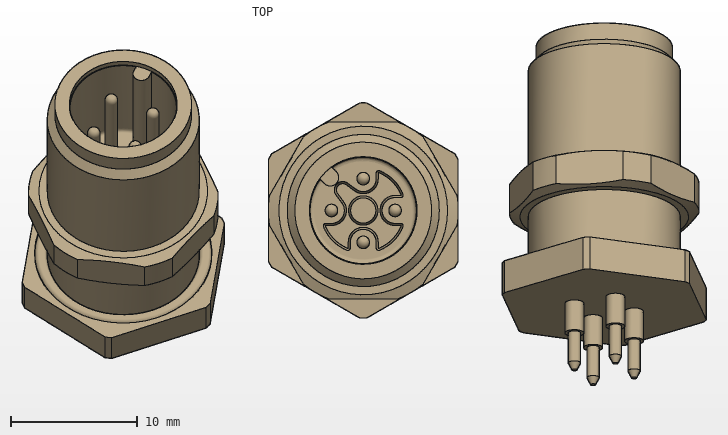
import cadquery as cq
import math

TOTAL_HEIGHT = 27.6
FLANGE_BOTTOM = 5.63
FLANGE_TOP = 8.34
NUT_BOTTOM = 13.28
NUT_TOP = 16.35
NECK_BOTTOM = 26.22
LINER_TOP = 27.13
FLOOR_HEIGHT = 18.6

BODY_DIAMETER = 12.0
NECK_DIAMETER = 10.8
MOUTH_DIAMETER = 8.5
BORE_DIAMETER = 8.4
FLOOR_FILLET = 0.33

FLANGE_ACROSS_FLATS = 15.0
FLANGE_CORNER_DIAMETER = 17.0
SEAL_OUTER_DIAMETER = 14.0
SEAL_PROTRUSION = 0.15
SEAL_GROOVE_DEPTH = 0.22
NUT_ACROSS_FLATS = 14.0
NUT_CORNER_DIAMETER = 15.0
NUT_FACE_DIAMETER = 13.3
NUT_CHAMFER_HEIGHT = 0.33

PIN_OFFSET = 2.5
PIN_COUNT = 4
PIN_DIAMETER = 1.0
PIN_TOP = 25.59
PIN_COLLAR_DIAMETER = 1.5
PIN_COLLAR_BOTTOM = 3.12
PIN_TIP_DIAMETER = 0.41
PIN_TIP_HEIGHT = 0.58

KEY_DIAMETER = 1.32
KEY_OFFSET = 3.67
KEY_ANGLE = 135
RECESS_DIAMETER = 6.8
RECESS_DEPTH = 0.5
RECESS_DRAFT = 0.17
RECESS_CORNER_RADIUS = 0.2
ISLAND_RADIUS = 1.02
LOBE_RADIUS = 0.65
LOBE_OFFSET = 2.3
BOSS_DIAMETER = 2.0


def cylinder(diameter, bottom, top):
    return cq.Workplane("XY").workplane(offset=bottom).circle(diameter / 2).extrude(top - bottom)


def hexagon(across_flats, bottom, top, flat_angle):
    """Hexagonal prism with the middle of one flat facing flat_angle."""
    corner_diameter = across_flats / math.cos(math.radians(30))
    prism = cq.Workplane("XY").workplane(offset=bottom).polygon(6, corner_diameter).extrude(top - bottom)
    return prism.rotate((0, 0, 0), (0, 0, 1), flat_angle - 30)


def revolve(profile):
    """Turn an XZ profile once around the Z axis."""
    return profile.close().revolve(360, (0, 0, 0), (0, 1, 0))


def polar(radius, degrees):
    angle = math.radians(degrees)
    return (radius * math.cos(angle), radius * math.sin(angle))


def offset_point(center, radius, degrees):
    dx, dy = polar(radius, degrees)
    return (center[0] + dx, center[1] + dy)


def mirror_across_key(point):
    """Mirror a point in the diagonal through the coding key."""
    return (-point[1], -point[0])


def make_housing():
    chamfer = (BODY_DIAMETER - NECK_DIAMETER) / 2
    body = cylinder(BODY_DIAMETER, FLANGE_BOTTOM, NECK_BOTTOM).faces(">Z").chamfer(chamfer)
    neck = cylinder(NECK_DIAMETER, NUT_TOP, TOTAL_HEIGHT)
    bore = cylinder(BORE_DIAMETER, FLOOR_HEIGHT, TOTAL_HEIGHT).faces("<Z").edges().fillet(FLOOR_FILLET)
    mouth = cylinder(MOUTH_DIAMETER, LINER_TOP, TOTAL_HEIGHT)
    return body.union(neck).cut(bore).cut(mouth)


def make_flange():
    flange = hexagon(FLANGE_ACROSS_FLATS, FLANGE_BOTTOM, FLANGE_TOP, 0)
    flange = flange.intersect(cylinder(FLANGE_CORNER_DIAMETER, FLANGE_BOTTOM, FLANGE_TOP))
    groove = cylinder(SEAL_OUTER_DIAMETER, FLANGE_TOP - SEAL_GROOVE_DEPTH, FLANGE_TOP)
    return flange.cut(groove)


def make_seal():
    """O-ring lying in the flange groove around the body."""
    cord_radius = (SEAL_OUTER_DIAMETER - BODY_DIAMETER) / 4
    ring_radius = SEAL_OUTER_DIAMETER / 2 - cord_radius
    center_height = FLANGE_TOP + SEAL_PROTRUSION - cord_radius
    ring = cq.Solid.makeTorus(ring_radius, cord_radius, cq.Vector(0, 0, center_height))
    return cq.Workplane(ring)


def make_nut():
    """Hexagon nut around the solid part of the body, its corners turned down and chamfered."""
    face_radius = NUT_FACE_DIAMETER / 2
    corner_radius = NUT_CORNER_DIAMETER / 2
    envelope = revolve(
        cq.Workplane("XZ")
        .moveTo(0, NUT_BOTTOM)
        .lineTo(face_radius, NUT_BOTTOM)
        .lineTo(corner_radius, NUT_BOTTOM + NUT_CHAMFER_HEIGHT)
        .lineTo(corner_radius, NUT_TOP - NUT_CHAMFER_HEIGHT)
        .lineTo(face_radius, NUT_TOP)
        .lineTo(0, NUT_TOP)
    )
    return hexagon(NUT_ACROSS_FLATS, NUT_BOTTOM, NUT_TOP, 90).intersect(envelope)


def make_pin():
    """Contact pin with a domed top, a collar below the flange and a pointed tail."""
    radius = PIN_DIAMETER / 2
    collar_radius = PIN_COLLAR_DIAMETER / 2
    return revolve(
        cq.Workplane("XZ")
        .lineTo(PIN_TIP_DIAMETER / 2, 0)
        .lineTo(radius, PIN_TIP_HEIGHT)
        .lineTo(radius, PIN_COLLAR_BOTTOM)
        .lineTo(collar_radius, PIN_COLLAR_BOTTOM)
        .lineTo(collar_radius, FLANGE_TOP)
        .lineTo(radius, FLANGE_TOP)
        .lineTo(radius, PIN_TOP - radius)
        .threePointArc(offset_point((0, PIN_TOP - radius), radius, 45), (0, PIN_TOP))
    )


def make_key():
    """Radial key with a half-round inner end and straight sides that run into the bore wall."""
    bottom = FLOOR_HEIGHT - RECESS_DEPTH
    side_length = MOUTH_DIAMETER / 2 - KEY_OFFSET
    sides = cq.Workplane("XY").workplane(offset=bottom).box(
        side_length, KEY_DIAMETER, LINER_TOP - bottom, centered=(False, True, False)
    )
    key = cylinder(KEY_DIAMETER, bottom, LINER_TOP).union(sides).translate((KEY_OFFSET, 0, 0))
    key = key.rotate((0, 0, 0), (0, 0, 1), KEY_ANGLE)
    return key.intersect(cylinder(MOUTH_DIAMETER, bottom, LINER_TOP))


def make_recess():
    """Drafted recess that leaves an island round each pin and a lobe towards the key."""
    rim_radius = RECESS_DIAMETER / 2
    leg_end = math.sqrt(rim_radius**2 - ISLAND_RADIUS**2)

    lobe = polar(LOBE_OFFSET, KEY_ANGLE)
    top_pin = (0, PIN_OFFSET)
    gap_x = top_pin[0] - lobe[0]
    gap_y = top_pin[1] - lobe[1]
    gap_angle = math.degrees(math.atan2(gap_y, gap_x))
    touch_angle = math.degrees(math.acos((ISLAND_RADIUS + LOBE_RADIUS) / math.hypot(gap_x, gap_y)))
    lobe_touch = offset_point(lobe, LOBE_RADIUS, gap_angle + touch_angle)
    island_touch_angle = gap_angle + touch_angle - 180
    island_touch = offset_point(top_pin, ISLAND_RADIUS, island_touch_angle)
    island_middle = offset_point(top_pin, ISLAND_RADIUS, island_touch_angle / 2)

    outline = (
        cq.Workplane("XY")
        .workplane(offset=FLOOR_HEIGHT)
        .moveTo(ISLAND_RADIUS, leg_end)
        .lineTo(ISLAND_RADIUS, PIN_OFFSET)
        .threePointArc(island_middle, island_touch)
        .lineTo(*lobe_touch)
        .threePointArc(polar(LOBE_OFFSET + LOBE_RADIUS, KEY_ANGLE), mirror_across_key(lobe_touch))
        .lineTo(*mirror_across_key(island_touch))
        .threePointArc(mirror_across_key(island_middle), (-PIN_OFFSET, -ISLAND_RADIUS))
        .lineTo(-leg_end, -ISLAND_RADIUS)
        .threePointArc(polar(rim_radius, 225), (-ISLAND_RADIUS, -leg_end))
        .lineTo(-ISLAND_RADIUS, -PIN_OFFSET)
        .threePointArc((0, ISLAND_RADIUS - PIN_OFFSET), (ISLAND_RADIUS, -PIN_OFFSET))
        .lineTo(ISLAND_RADIUS, -leg_end)
        .threePointArc(polar(rim_radius, 315), (leg_end, -ISLAND_RADIUS))
        .lineTo(PIN_OFFSET, -ISLAND_RADIUS)
        .threePointArc((PIN_OFFSET - ISLAND_RADIUS, 0), (PIN_OFFSET, ISLAND_RADIUS))
        .lineTo(leg_end, ISLAND_RADIUS)
        .threePointArc(polar(rim_radius, 45), (ISLAND_RADIUS, leg_end))
        .close()
    )
    outline = outline.offset2D(-RECESS_CORNER_RADIUS).offset2D(RECESS_CORNER_RADIUS)
    draft_angle = math.degrees(math.atan2(RECESS_DRAFT, RECESS_DEPTH))
    recess = outline.extrude(-RECESS_DEPTH, taper=draft_angle)

    boss = (
        cq.Workplane("XY")
        .workplane(offset=FLOOR_HEIGHT)
        .circle(BOSS_DIAMETER / 2)
        .extrude(-RECESS_DEPTH, taper=-draft_angle)
    )
    return recess.cut(boss)


result = make_housing().cut(make_recess())
result = result.union(make_flange()).union(make_seal()).union(make_nut()).union(make_key())

for pin_index in range(PIN_COUNT):
    pin_x, pin_y = polar(PIN_OFFSET, pin_index * 360 / PIN_COUNT)
    result = result.union(make_pin().translate((pin_x, pin_y, 0)))